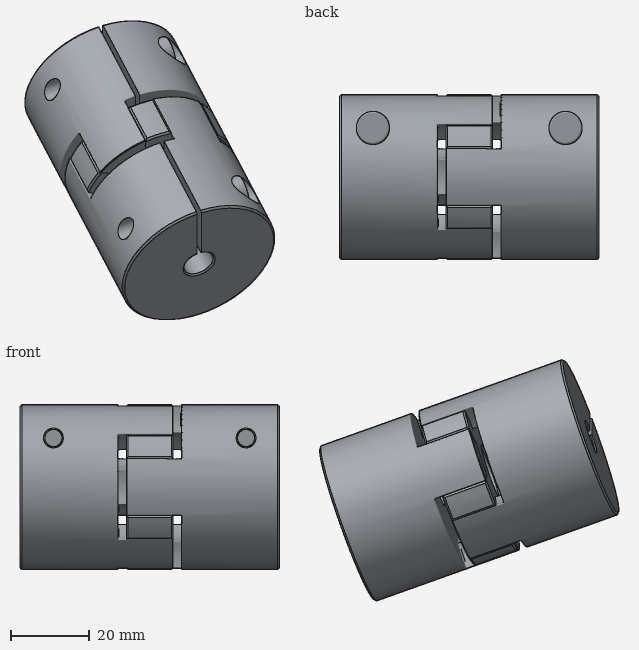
import cadquery as cq
import math

length = 66.0
outer_radius = 21.0
spider_half_width = 5.95
floor_x = 8.1
bore_radius = 4.0
spider_bore_radius = 7.0

jaws_per_hub = 3
jaw_pitch = 360.0 / jaws_per_hub
left_first_jaw = 0.0
right_first_jaw = left_first_jaw + jaw_pitch / 2
jaw_inner_radius = 14.1
jaw_blank_radius = 21.45
jaw_blank_half_angle = 20.9
jaw_inner_half_angle = 18.0
jaw_corner_radius = 0.05
jaw_side_radius = 13.85

end_chamfer = 0.495
bore_chamfer = 0.4
jaw_fillet = 0.2
root_fillet = 0.3
spider_chamfer = 0.45

slit_width = 1.2
screw_x = 24.5
screw_z = 12.5
screw_radius = 2.5
screw_length = 20.0
screw_end_chamfer = 0.3
head_radius = 4.2
head_height = 5.0
head_top_y = 15.7
head_edge = 0.5

half_length = length / 2
seam_turn = -90.0
head_seat_y = head_top_y - head_height
screw_end_y = head_seat_y - screw_length
tolerance = 0.005
floor_slab = 0.05


def polar(radius, angle):
    """Point in the YZ plane at an angle from +Y towards +Z."""
    turn = math.radians(angle)
    return radius * math.cos(turn), radius * math.sin(turn)


def jaw(angle, start_x, end_x):
    """Ring-sector jaw blank with concave sides, centred on the given angle."""
    inner_low = polar(jaw_inner_radius, angle - jaw_inner_half_angle)
    inner_mid = polar(jaw_inner_radius, angle)
    inner_high = polar(jaw_inner_radius, angle + jaw_inner_half_angle)
    outer_low = polar(jaw_blank_radius, angle - jaw_blank_half_angle)
    outer_mid = polar(jaw_blank_radius, angle)
    outer_high = polar(jaw_blank_radius, angle + jaw_blank_half_angle)
    return (
        cq.Workplane("YZ", origin=(start_x, 0, 0))
        .moveTo(*inner_low)
        .radiusArc(outer_low, jaw_side_radius)
        .threePointArc(outer_mid, outer_high)
        .radiusArc(inner_high, jaw_side_radius)
        .threePointArc(inner_mid, inner_low)
        .close()
        .extrude(end_x - start_x)
        .edges("|X")
        .fillet(jaw_corner_radius)
    )


def on_outer_cylinder(edge):
    """True for an edge that follows the outer cylinder surface between the two hub floors."""
    points = [edge.positionAt(fraction) for fraction in (0.0, 0.5, 1.0)]
    return all(
        abs(math.hypot(point.y, point.z) - outer_radius) < tolerance
        and abs(point.x) < floor_x + tolerance
        for point in points
    )


def outer_edges(body):
    """Selection of the edges where a body's jaw or arm profile meets the outer cylinder."""
    return body.newObject([edge for edge in body.edges().vals() if on_outer_cylinder(edge)])


def left_screw_cylinder(radius, from_y, to_y):
    """Cylinder on the axis of the left screw, which is parallel to Y."""
    return (
        cq.Workplane("XZ", origin=(-screw_x, from_y, screw_z))
        .circle(radius)
        .extrude(from_y - to_y)
    )


def mirrored(body):
    """The same body at the +X end."""
    return body.mirror("YZ")


def left_hub(first_jaw):
    """Clamping hub at the -X end: jaws, bore, slit, screw hole and counterbore."""
    hub_body = (
        cq.Workplane("YZ", origin=(-half_length, 0, 0))
        .circle(jaw_blank_radius)
        .extrude(half_length - floor_x)
    )
    for index in range(jaws_per_hub):
        hub_body = hub_body.union(jaw(first_jaw + index * jaw_pitch, -floor_x, spider_half_width))
    envelope = (
        cq.Workplane("YZ", origin=(-half_length, 0, 0))
        .circle(outer_radius)
        .extrude(length)
        .rotate((0, 0, 0), (1, 0, 0), seam_turn)
    )
    hub_body = hub_body.intersect(envelope)
    hub_body = hub_body.faces("<X").edges().chamfer(end_chamfer)

    floor_edges = hub_body.faces(cq.selectors.BoxSelector(
        (-floor_x - floor_slab, -outer_radius, -outer_radius),
        (-floor_x + floor_slab, outer_radius, outer_radius),
    )).edges()
    roots = [edge for edge in floor_edges.vals() if not on_outer_cylinder(edge)]
    hub_body = hub_body.newObject(roots).fillet(root_fillet)
    hub_body = outer_edges(hub_body).fillet(jaw_fillet)

    bore = cq.Workplane("YZ", origin=(-half_length, 0, 0)).circle(bore_radius).extrude(half_length)
    bore_mouth = cq.Workplane(cq.Solid.makeCone(
        bore_radius + bore_chamfer, bore_radius, bore_chamfer,
        pnt=cq.Vector(-half_length, 0, 0), dir=cq.Vector(1, 0, 0),
    ))
    slit = (
        cq.Workplane("XY")
        .box(half_length - floor_x, slit_width, outer_radius, centered=(False, True, False))
        .translate((-half_length, 0, 0))
    )
    thread = left_screw_cylinder(screw_radius, outer_radius, -outer_radius)
    counterbore = left_screw_cylinder(head_radius, outer_radius, head_seat_y)
    for cutter in (bore, bore_mouth, slit, thread, counterbore):
        hub_body = hub_body.cut(cutter)
    return hub_body


def make_spider():
    """Elastic star that fills the space between the jaws of both hubs."""
    body = (
        cq.Workplane("YZ", origin=(-spider_half_width, 0, 0))
        .circle(outer_radius)
        .extrude(2 * spider_half_width)
    )
    for first_jaw in (left_first_jaw, right_first_jaw):
        for index in range(jaws_per_hub):
            angle = first_jaw + index * jaw_pitch
            body = body.cut(jaw(angle, -spider_half_width, spider_half_width))
    body = outer_edges(body).chamfer(spider_chamfer)
    bore = (
        cq.Workplane("YZ", origin=(-spider_half_width, 0, 0))
        .circle(spider_bore_radius)
        .extrude(2 * spider_half_width)
    )
    return body.cut(bore).edges(cq.selectors.RadiusNthSelector(0)).chamfer(spider_chamfer)


def left_screw():
    """Clamping screw at the -X end, with its head towards +Y."""
    head = left_screw_cylinder(head_radius, head_top_y, head_seat_y).faces(">Y").edges().fillet(head_edge)
    shank = left_screw_cylinder(screw_radius, head_seat_y, screw_end_y)
    shank = shank.faces("<Y").edges().chamfer(screw_end_chamfer)
    return head.union(shank)


hubs = [left_hub(left_first_jaw), mirrored(left_hub(right_first_jaw))]
spider = make_spider()
screws = [left_screw(), mirrored(left_screw())]

result = cq.Compound.makeCompound([body.val() for body in [*hubs, spider, *screws]])